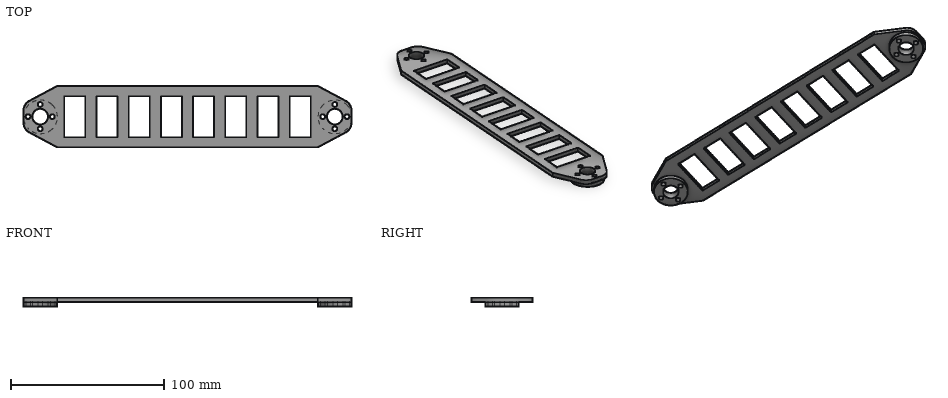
import cadquery as cq

length = 214.0
width = 40.0
plate_thickness = 3.0
straight_edge_length = 170.0
end_width = 16.5
end_corner_radius = 7.5

pad_diameter = 22.0
pad_height = 3.0
pad_offset = (length - pad_diameter) / 2

center_hole_diameter = 10.0
screw_hole_diameter = 3.0
screw_circle_radius = 8.0
screw_count = 4

window_count = 8
window_pitch = 21.0
window_length = 13.5
window_width = 26.5


def make_plate():
    """Plate with tapered ends and rounded end corners, its underside at Z = 0."""
    end_x = length / 2
    shoulder_x = straight_edge_length / 2
    side_y = width / 2
    end_y = end_width / 2
    outline = [
        (-end_x, -end_y),
        (-shoulder_x, -side_y),
        (shoulder_x, -side_y),
        (end_x, -end_y),
        (end_x, end_y),
        (shoulder_x, side_y),
        (-shoulder_x, side_y),
        (-end_x, end_y),
    ]
    plate = cq.Workplane("XY").polyline(outline).close().extrude(plate_thickness)
    end_corners = plate.faces("<X or >X").edges("|Z")
    return end_corners.fillet(end_corner_radius)


def make_pads():
    """Round pads hanging below both ends of the plate."""
    centers = [(-pad_offset, 0), (pad_offset, 0)]
    return cq.Workplane("XY").pushPoints(centers).circle(pad_diameter / 2).extrude(-pad_height)


def cut_windows(body):
    """Cut the row of windows, centered on the plate."""
    sketch = cq.Workplane("XY").rarray(window_pitch, 2.1, window_count, 1)
    return body.cut(sketch.rect(window_length, window_width).extrude(plate_thickness))


def cut_pad_holes(body, center_x):
    """Cut the center hole and the ring of screw holes through one end."""
    total_height = plate_thickness + pad_height
    base = cq.Workplane("XY", origin=(center_x, 0, -pad_height))
    center_hole = base.circle(center_hole_diameter / 2).extrude(total_height)
    screw_holes = (
        base.polarArray(screw_circle_radius, 0, 360, screw_count)
        .circle(screw_hole_diameter / 2)
        .extrude(total_height)
    )
    return body.cut(center_hole).cut(screw_holes)


result = make_plate().union(make_pads())
result = cut_windows(result)
for pad_x in (-pad_offset, pad_offset):
    result = cut_pad_holes(result, pad_x)